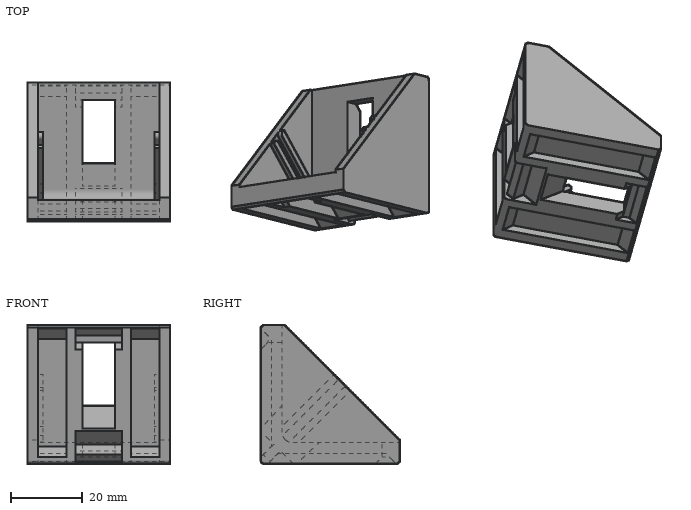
import cadquery as cq
import math


width = 40.0
leg = 39.0
leg_tip = 6.68
tip_chamfer = 0.7
heel_radius = 1.0

plate_thickness = 6.0
side_wall = 2.9
inside_fillet = 2.9
cavity_half = width / 2 - side_wall

rib_height = 1.4
clip_half_width = 3.23
slot_half_width = 1.3
rib_tip_radius = 1.0

screw_slot_width = 9.0
screw_slot_start = 9.97
screw_slot_inner_start = 16.38
screw_slot_end = 34.05

pocket_width = 8.05
pocket_center = 13.07
pocket_depth = 2.95
pocket_start = 1.98
pocket_end = 38.03
center_recess_width = 13.0
center_recess_depth = 2.0
center_recess_start = 32.1

heel_notch = 9.19
tooth_half_width = 1.3
tooth_tip = 3.34 / math.sqrt(2)


def prism(points, x_center, x_width):
    """Extrude a (Y, Z) polygon along X, centred on x_center."""
    start = x_center - x_width / 2
    return cq.Workplane("YZ", origin=(start, 0, 0)).polyline(points).close().extrude(x_width)


def on_both_plates(points, x_center, x_width):
    """Prism of a (Y, Z) polygon together with its mirror image about Y = Z."""
    swapped = [(z, y) for y, z in points]
    return prism(points, x_center, x_width).add(prism(swapped, x_center, x_width)).combine()


def diagonal(along, across):
    """(Y, Z) of a point given along the bisector from the heel, and across it toward +Z."""
    return ((along - across) / math.sqrt(2), (along + across) / math.sqrt(2))


def make_body():
    """Triangular block with its outer edges broken."""
    outline = [(0, 0), (leg, 0), (leg, leg_tip), (leg_tip, leg), (0, leg)]
    body = prism(outline, 0, width)
    body = body.edges(cq.selectors.NearestToPointSelector((0, 0, 0))).fillet(heel_radius)
    for tip in ((0, leg, 0), (0, 0, leg)):
        body = body.edges(cq.selectors.NearestToPointSelector(tip)).chamfer(tip_chamfer)
    return body


def make_cavity():
    """Space between the plates and the side walls."""
    inside = plate_thickness
    beyond = leg + plate_thickness
    outline = [(inside, inside), (beyond, inside), (beyond, beyond), (inside, beyond)]
    cavity = prism(outline, 0, 2 * cavity_half)
    return cavity.edges(cq.selectors.NearestToPointSelector((0, inside, inside))).fillet(inside_fillet)


def make_clip_rib(side, x_center):
    """One rib beside the slot; side is +1 toward +Z and -1 toward +Y."""
    root = plate_thickness * math.sqrt(2)
    tip = (leg + leg_tip) / math.sqrt(2)
    arc_along = tip - rib_tip_radius
    arc_across = slot_half_width + rib_tip_radius
    arc_offset = rib_tip_radius / math.sqrt(2)
    start = x_center - rib_height / 2
    return (
        cq.Workplane("YZ", origin=(start, 0, 0))
        .moveTo(*diagonal(root, side * clip_half_width))
        .lineTo(*diagonal(tip, side * clip_half_width))
        .lineTo(*diagonal(tip, side * arc_across))
        .threePointArc(
            diagonal(arc_along + arc_offset, side * (arc_across - arc_offset)),
            diagonal(arc_along, side * slot_half_width),
        )
        .lineTo(*diagonal(root, side * slot_half_width))
        .close()
        .extrude(rib_height)
    )


def make_recess(start, end, depth, x_center, x_width):
    """Recess with 45 degree ends in the outer face of both plates."""
    outline = [(0, start), (depth, start + depth), (depth, end - depth), (0, end)]
    return on_both_plates(outline, x_center, x_width)


def make_screw_slots():
    """Through slot in both plates, sloped at the end near the heel."""
    outline = [
        (0, screw_slot_start),
        (plate_thickness, screw_slot_inner_start),
        (plate_thickness, screw_slot_end),
        (0, screw_slot_end),
    ]
    return on_both_plates(outline, 0, screw_slot_width)


def make_heel_notch():
    """Corner cut across the heel, less the tooth on the bisector."""
    notch_floor = heel_notch / math.sqrt(2)
    notch = prism([(0, 0), (heel_notch, 0), (0, heel_notch)], 0, center_recess_width)
    tooth = prism(
        [
            diagonal(tooth_tip, -tooth_half_width),
            diagonal(notch_floor, -tooth_half_width),
            diagonal(notch_floor, tooth_half_width),
            diagonal(tooth_tip, tooth_half_width),
        ],
        0,
        center_recess_width,
    )
    return notch.cut(tooth)


result = make_body().cut(make_cavity())

for x_side in (-1, 1):
    rib_center = x_side * (cavity_half - rib_height / 2)
    for rib_side in (-1, 1):
        result = result.union(make_clip_rib(rib_side, rib_center))
    pocket = make_recess(pocket_start, pocket_end, pocket_depth, x_side * pocket_center, pocket_width)
    result = result.cut(pocket)

center_recess = make_recess(center_recess_start, pocket_end, center_recess_depth, 0, center_recess_width)
result = result.cut(center_recess)
result = result.cut(make_screw_slots())
result = result.cut(make_heel_notch())